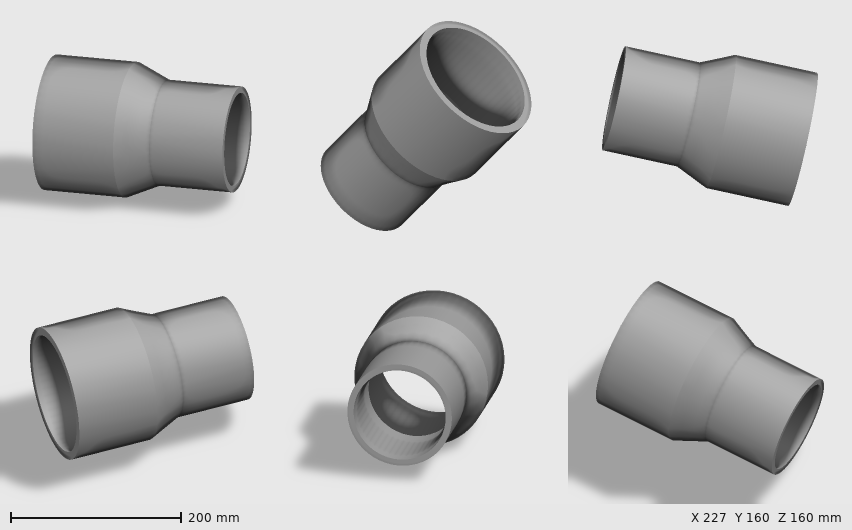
import cadquery as cq

total_length = 227.0
wide_length = 98.5
cone_length = 39.0
wide_outer_diameter = 160.0
wide_bore_diameter = 141.0
narrow_outer_diameter = 125.0
narrow_bore_diameter = 110.0

wide_end = -total_length / 2
cone_start = wide_end + wide_length
cone_end = cone_start + cone_length
narrow_end = wide_end + total_length


def reducer_body(wide_diameter, narrow_diameter):
    """Solid of revolution: wide cylinder, cone, narrow cylinder."""
    return (
        cq.Workplane("XY")
        .moveTo(wide_end, 0)
        .lineTo(wide_end, wide_diameter / 2)
        .lineTo(cone_start, wide_diameter / 2)
        .lineTo(cone_end, narrow_diameter / 2)
        .lineTo(narrow_end, narrow_diameter / 2)
        .lineTo(narrow_end, 0)
        .close()
        .revolve(360, (0, 0, 0), (1, 0, 0))
    )


outside = reducer_body(wide_outer_diameter, narrow_outer_diameter)
bore = reducer_body(wide_bore_diameter, narrow_bore_diameter)

result = outside.cut(bore)